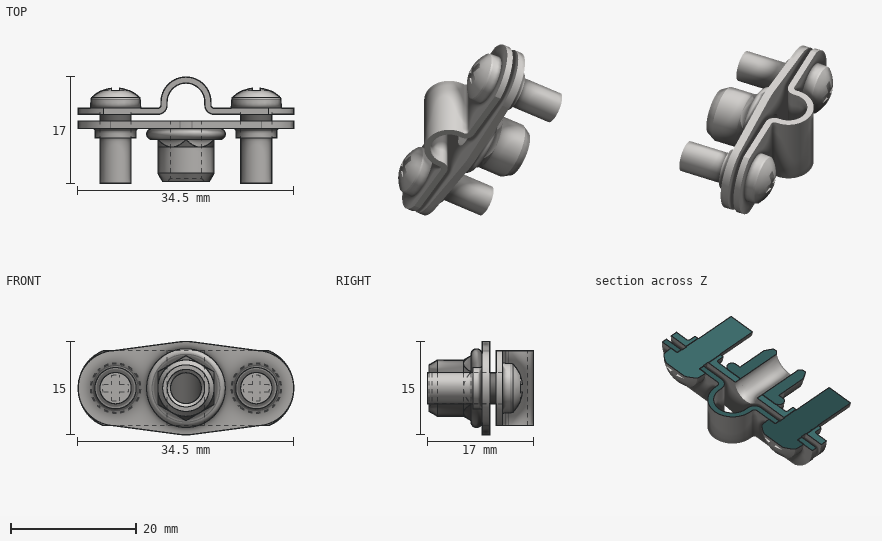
import cadquery as cq
import math


half_length = 17.25
screw_spacing = 22.5
screw_diameter = 5.0
screw_offsets = (-screw_spacing / 2, screw_spacing / 2)

plate_thickness = 1.25
plate_middle_radius = 7.5
plate_end_radius = half_length - screw_spacing / 2
collar_diameter = 6.6
collar_length = 1.5
collar_fillet = 0.3

strap_gap = 1.0
strap_thickness = 1.0
strap_width = 12.0
strap_end_radius = 6.5
arch_outer_radius = 4.0
arch_inner_radius = arch_outer_radius - strap_thickness
arch_leg = 0.5
bend_inner_radius = 0.52
bend_outer_radius = bend_inner_radius + strap_thickness
strap_front = plate_thickness + strap_gap
strap_back = strap_front + strap_thickness

screw_tip = -8.75
head_base_radius = 4.05
head_rim_radius = 3.95
head_rim_height = 1.4
head_dome_radius = 3.85
head_dome_base = 1.7
head_height = 3.28
slot_width = 1.25
slot_depth = 0.4

flange_diameter = 12.6
flange_thickness = 1.75
hex_sides = 6
hex_across_flats = 9.0
hex_end = 2.95
hex_chamfer_angle = 30.0
nipple_end = 8.5
tip_chamfer_length = 1.35
tip_chamfer_angle = 30.0
bore_diameter = 4.95
bore_mouth_diameter = 6.0
bore_mouth_depth = 0.52


def cylinder(radius, y_start, y_end, x=0):
    """Cylinder parallel to Y between two Y positions."""
    length = y_end - y_start
    start = cq.Vector(x, y_start, 0)
    return cq.Workplane(cq.Solid.makeCylinder(radius, length, start, cq.Vector(0, 1, 0)))


def revolve_about_y(profile):
    """Full turn of a closed (radius, Y) profile about the Y axis."""
    return profile.close().revolve(360, (0, 0, 0), (0, 1, 0))


def make_base_plate():
    """Plate bounded by a middle circle, two end circles and their tangent lines, with screw collars."""
    tilt_sine = (plate_middle_radius - plate_end_radius) / (screw_spacing / 2)
    tilt_cosine = math.sqrt(1 - tilt_sine**2)
    middle_x = plate_middle_radius * tilt_sine
    middle_z = plate_middle_radius * tilt_cosine
    end_x = screw_spacing / 2 + plate_end_radius * tilt_sine
    end_z = plate_end_radius * tilt_cosine
    plate = (
        cq.Workplane("XZ")
        .moveTo(-middle_x, middle_z)
        .threePointArc((0, plate_middle_radius), (middle_x, middle_z))
        .lineTo(end_x, end_z)
        .threePointArc((half_length, 0), (end_x, -end_z))
        .lineTo(middle_x, -middle_z)
        .threePointArc((0, -plate_middle_radius), (-middle_x, -middle_z))
        .lineTo(-end_x, -end_z)
        .threePointArc((-half_length, 0), (-end_x, end_z))
        .close()
        .extrude(-plate_thickness)
    )
    collar = make_collar()
    for x in screw_offsets:
        plate = plate.union(collar.translate((x, 0, 0)))
        plate = plate.cut(cylinder(screw_diameter / 2, -collar_length, plate_thickness, x))
    return plate.cut(cylinder(bore_diameter / 2, 0, plate_thickness))


def make_collar():
    """Collar in front of the plate, with a concave fillet at its root."""
    radius = collar_diameter / 2
    arc_inset = collar_fillet * (1 - math.sqrt(0.5))
    profile = (
        cq.Workplane("XY")
        .lineTo(0, -collar_length)
        .lineTo(radius, -collar_length)
        .lineTo(radius, -collar_fillet)
        .threePointArc((radius + arc_inset, -arc_inset), (radius + collar_fillet, 0))
    )
    return revolve_about_y(profile)


def make_clamp():
    """Bent strap with a central arch and rounded ends, drilled for the screws."""
    bend_x = arch_outer_radius + bend_inner_radius
    bend_y = strap_back + bend_inner_radius
    arch_y = bend_y + arch_leg
    inner_mid = bend_inner_radius * math.sqrt(0.5)
    outer_mid = bend_outer_radius * math.sqrt(0.5)
    blank_end = half_length + strap_thickness
    strap = (
        cq.Workplane("XY")
        .moveTo(-blank_end, strap_front)
        .lineTo(-bend_x, strap_front)
        .threePointArc((-bend_x + outer_mid, bend_y - outer_mid), (-arch_inner_radius, bend_y))
        .lineTo(-arch_inner_radius, arch_y)
        .threePointArc((0, arch_y + arch_inner_radius), (arch_inner_radius, arch_y))
        .lineTo(arch_inner_radius, bend_y)
        .threePointArc((bend_x - outer_mid, bend_y - outer_mid), (bend_x, strap_front))
        .lineTo(blank_end, strap_front)
        .lineTo(blank_end, strap_back)
        .lineTo(bend_x, strap_back)
        .threePointArc((bend_x - inner_mid, bend_y - inner_mid), (arch_outer_radius, bend_y))
        .lineTo(arch_outer_radius, arch_y)
        .threePointArc((0, arch_y + arch_outer_radius), (-arch_outer_radius, arch_y))
        .lineTo(-arch_outer_radius, bend_y)
        .threePointArc((-bend_x + inner_mid, bend_y - inner_mid), (-bend_x, strap_back))
        .lineTo(-blank_end, strap_back)
        .close()
        .extrude(strap_width / 2, both=True)
    )
    end_center = half_length - strap_end_radius
    corner_x = end_center + math.sqrt(strap_end_radius**2 - (strap_width / 2) ** 2)
    outline = (
        cq.Workplane("XZ")
        .moveTo(-corner_x, strap_width / 2)
        .lineTo(corner_x, strap_width / 2)
        .threePointArc((half_length, 0), (corner_x, -strap_width / 2))
        .lineTo(-corner_x, -strap_width / 2)
        .threePointArc((-half_length, 0), (-corner_x, strap_width / 2))
        .close()
        .extrude(-half_length)
    )
    clamp = strap.intersect(outline)
    for x in screw_offsets:
        clamp = clamp.cut(cylinder(screw_diameter / 2, strap_front, strap_back, x))
    return clamp


def make_screw(x):
    """Cross-slotted screw with a slightly tapered, domed head resting on the clamp."""
    shank_radius = screw_diameter / 2
    head_top = strap_back + head_height
    dome_base = strap_back + head_dome_base
    dome_rise = head_top - dome_base
    dome_sphere = (head_dome_radius**2 + dome_rise**2) / (2 * dome_rise)
    mid_radius = head_dome_radius / 2
    mid_y = head_top - dome_sphere + math.sqrt(dome_sphere**2 - mid_radius**2)
    profile = (
        cq.Workplane("XY")
        .moveTo(0, screw_tip)
        .lineTo(shank_radius, screw_tip)
        .lineTo(shank_radius, strap_back)
        .lineTo(head_base_radius, strap_back)
        .lineTo(head_rim_radius, strap_back + head_rim_height)
        .lineTo(head_dome_radius, dome_base)
        .threePointArc((mid_radius, mid_y), (0, head_top))
    )
    screw = revolve_about_y(profile)
    slot_length = 2 * head_base_radius
    slot_y = head_top - slot_depth / 2
    for size_x, size_z in ((slot_length, slot_width), (slot_width, slot_length)):
        slot = cq.Workplane("XY").box(size_x, slot_depth, size_z)
        screw = screw.cut(slot.translate((0, slot_y, 0)))
    return screw.translate((x, 0, 0))


def make_nipple():
    """Bored nipple with a round-edged flange and a chamfered hexagon behind a cylindrical nose."""
    nose_radius = hex_across_flats / 2
    edge_radius = flange_thickness / 2
    flange_radius = flange_diameter / 2
    flange = revolve_about_y(
        cq.Workplane("XY")
        .lineTo(flange_radius - edge_radius, 0)
        .threePointArc((flange_radius, -edge_radius), (flange_radius - edge_radius, -flange_thickness))
        .lineTo(0, -flange_thickness)
    )

    half_side_angle = math.pi / hex_sides
    corner_radius = nose_radius / math.cos(half_side_angle)
    corner_angles = [half_side_angle * (2 * corner + 1) for corner in range(hex_sides)]
    hex_corners = [(corner_radius * math.cos(a), corner_radius * math.sin(a)) for a in corner_angles]
    hexagon = cq.Workplane("XZ").polyline(hex_corners).close().extrude(hex_end)
    cone_radius = nose_radius + hex_end * math.tan(math.radians(hex_chamfer_angle))
    hex_cone = revolve_about_y(
        cq.Workplane("XY").lineTo(cone_radius, 0).lineTo(nose_radius, -hex_end).lineTo(0, -hex_end)
    )

    tip_radius = nose_radius - tip_chamfer_length * math.tan(math.radians(tip_chamfer_angle))
    nose = revolve_about_y(
        cq.Workplane("XY")
        .lineTo(nose_radius, 0)
        .lineTo(nose_radius, tip_chamfer_length - nipple_end)
        .lineTo(tip_radius, -nipple_end)
        .lineTo(0, -nipple_end)
    )

    bore = revolve_about_y(
        cq.Workplane("XY")
        .lineTo(bore_diameter / 2, 0)
        .lineTo(bore_diameter / 2, bore_mouth_depth - nipple_end)
        .lineTo(bore_mouth_diameter / 2, -nipple_end)
        .lineTo(0, -nipple_end)
    )
    return flange.union(hexagon.intersect(hex_cone)).union(nose).cut(bore)


base_plate = make_base_plate()
clamp = make_clamp()
screws = [make_screw(x) for x in screw_offsets]
nipple = make_nipple()

result = cq.Compound.makeCompound(
    [base_plate.val(), clamp.val(), *[screw.val() for screw in screws], nipple.val()]
)